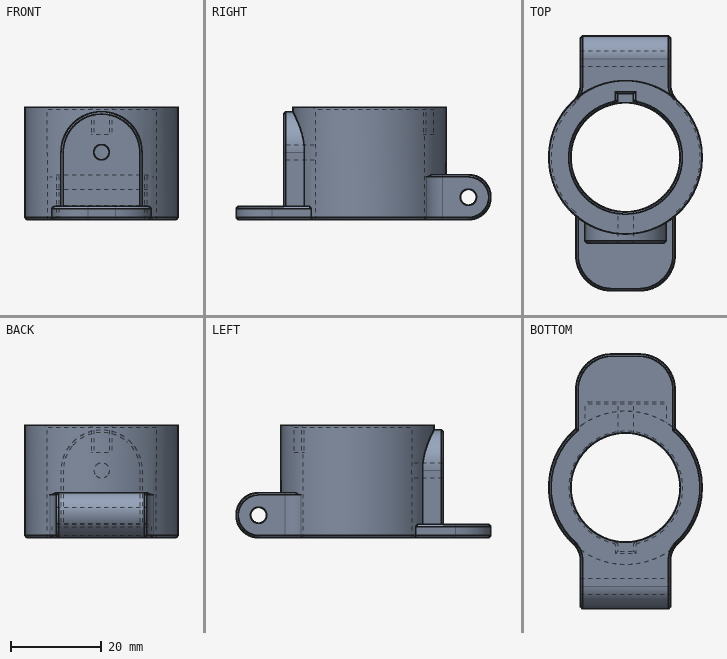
import cadquery as cq
import math

edge_chamfer = 0.5

ring_diameter = 34.0
ring_radius = ring_diameter / 2
ring_height = 25.0
bore_diameter = 24.2
bore_radius = bore_diameter / 2
key_width = 3.5
key_radial_depth = 2.0
key_length = 6.0

lug_width = 20.0
lug_height = 10.0
lug_end_y = 26.9
lug_hole_diameter = 3.5
lug_fillet = 5.0
blend_overlap = 0.005

foot_end_y = -29.6
foot_width = 22.05
foot_thickness = 3.0
foot_corner_radius = 7.95

pad_width = 17.95
pad_projection = 2.05
pad_center_z = 15.0
pad_hole_diameter = 3.4

root_radius = 12.45


def make_ring():
    """Solid cylinder, chamfered around its base."""
    cylinder = cq.Workplane("XY").circle(ring_radius).extrude(ring_height)
    return cylinder.faces("<Z").edges().chamfer(edge_chamfer)


def make_lug():
    """Lug blended smoothly into the ring, chamfered around both side faces."""
    half_width = lug_width / 2
    end_radius = lug_height / 2
    hole_y = lug_end_y - end_radius

    touch_radius = ring_radius - blend_overlap
    blend_x = half_width + lug_fillet
    center_distance = touch_radius + lug_fillet
    blend_y = math.sqrt(center_distance**2 - blend_x**2)
    touch_x = blend_x * touch_radius / center_distance
    touch_y = blend_y * touch_radius / center_distance
    mid_angle = math.pi + math.atan2(blend_y, blend_x) / 2
    mid_x = blend_x + lug_fillet * math.cos(mid_angle)
    mid_y = blend_y + lug_fillet * math.sin(mid_angle)

    plan = (
        cq.Workplane("XY")
        .moveTo(half_width, lug_end_y)
        .lineTo(half_width, blend_y)
        .threePointArc((mid_x, mid_y), (touch_x, touch_y))
        .lineTo(-touch_x, touch_y)
        .threePointArc((-mid_x, mid_y), (-half_width, blend_y))
        .lineTo(-half_width, lug_end_y)
        .close()
        .extrude(lug_height)
    )
    side_profile = (
        cq.Workplane("YZ")
        .moveTo(0, 0)
        .lineTo(hole_y, 0)
        .threePointArc((lug_end_y, end_radius), (hole_y, lug_height))
        .lineTo(0, lug_height)
        .close()
        .extrude(ring_radius, both=True)
    )
    lug = plan.intersect(side_profile).edges("not(|X or |Z)").chamfer(edge_chamfer)
    hole = (
        cq.Workplane("YZ")
        .center(hole_y, end_radius)
        .circle(lug_hole_diameter / 2)
        .extrude(lug_width, both=True)
    )
    return lug.cut(hole)


def make_foot():
    """Flat plate with two rounded front corners."""
    foot_length = -root_radius - foot_end_y + edge_chamfer
    return (
        cq.Workplane("XY")
        .center(0, foot_end_y + foot_length / 2)
        .rect(foot_width, foot_length)
        .extrude(foot_thickness)
        .edges("|Z and <Y")
        .fillet(foot_corner_radius)
        .faces("<Z or >Z")
        .edges()
        .chamfer(edge_chamfer)
    )


def make_pad():
    """Arched pad standing on the foot plate, chamfered around its front face."""
    half_width = pad_width / 2
    base_z = foot_thickness / 2
    return (
        cq.Workplane("XZ", origin=(0, -root_radius, 0))
        .moveTo(-half_width, base_z)
        .lineTo(-half_width, pad_center_z)
        .threePointArc((0, pad_center_z + half_width), (half_width, pad_center_z))
        .lineTo(half_width, base_z)
        .close()
        .extrude(ring_radius + pad_projection - root_radius)
        .faces("<Y")
        .edges("not <Z")
        .chamfer(edge_chamfer)
    )


def make_bore():
    return cq.Workplane("XY").circle(bore_radius).extrude(ring_height)


def make_keyway():
    """Blind keyway at the rear of the bore, open at the top."""
    key_end_y = bore_radius + key_radial_depth
    return (
        cq.Workplane("XY", origin=(0, key_end_y / 2, ring_height - key_length))
        .rect(key_width, key_end_y)
        .extrude(key_length)
    )


def make_pad_hole():
    """Radial hole from the pad face into the bore."""
    return (
        cq.Workplane("XZ")
        .center(0, pad_center_z)
        .circle(pad_hole_diameter / 2)
        .extrude(ring_radius + pad_projection)
    )


body = make_ring().union(make_lug()).union(make_foot()).union(make_pad())
body = body.cut(make_bore()).cut(make_keyway())

mouth_y = math.sqrt(bore_radius**2 - (key_width / 2) ** 2)
mouth_box = cq.selectors.BoxSelector(
    (-key_width, mouth_y - edge_chamfer, ring_height - key_length),
    (key_width, mouth_y + edge_chamfer, ring_height),
)
body = body.edges("|Z").edges(mouth_box).chamfer(edge_chamfer)

rim = body.faces(">Z").val().innerWires()[0]
body = body.newObject(rim.Edges()).chamfer(edge_chamfer)

result = body.cut(make_pad_hole())